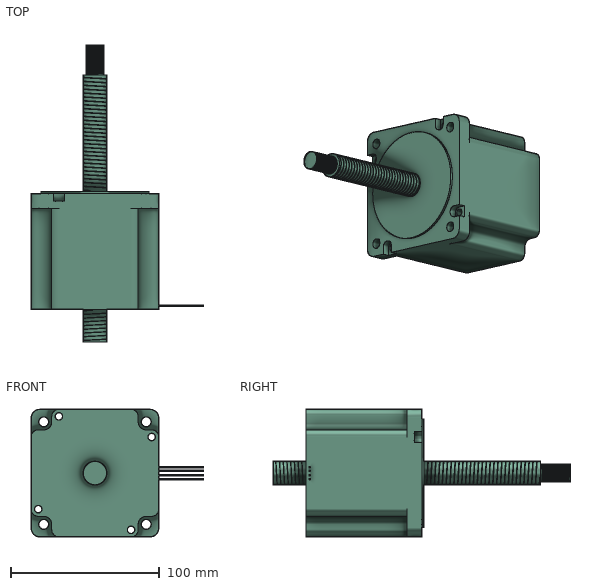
import cadquery as cq
import math


BODY_SIDE = 86.0
BODY_LENGTH = 78.0
FLANGE_THICKNESS = 10.0
FLANGE_CORNER_RADIUS = 6.0
PILOT_DIAMETER = 73.0
PILOT_HEIGHT = 1.5

MOUNT_HOLE_SPACING = 69.0
MOUNT_HOLE_DIAMETER = 6.5

BOLT_FAR_OFFSET = 38.2
BOLT_NEAR_OFFSET = 24.3
BOLT_HOLE_DIAMETER = 4.8
BOLT_SLOT_WIDTH = 7.5
BOLT_SLOT_DEPTH = 5.0

RECESS_WALL_OFFSET = 29.1
RECESS_INNER_RADIUS = 5.4
RECESS_LIP_RADIUS = BODY_SIDE / 2 - BOLT_FAR_OFFSET

SCREW_DIAMETER = 16.0
SCREW_REAR_LENGTH = 22.0
SCREW_FRONT_LENGTH = 78.5
FRONT_THREAD_PITCH = SCREW_FRONT_LENGTH / 30
FRONT_GROOVE_WIDTH = 0.4
FRONT_GROOVE_DEPTH = 0.2
REAR_THREAD_PITCH = 2.5
REAR_GROOVE_WIDTH = 0.25
REAR_GROOVE_DEPTH = 0.125
TIP_DIAMETER = 12.0
TIP_LENGTH = 20.0
TIP_THREAD_PITCH = 0.8
TIP_GROOVE_WIDTH = 0.4
TIP_GROOVE_DEPTH = 0.2
GROOVE_END_GAP = 0.5
GROOVE_START_ANGLE = 115.0

WIRE_DIAMETER = 1.0
WIRE_LENGTH = 30.0
WIRE_HEIGHTS = (-4.0, -1.5, 1.5, 4.0)
WIRE_REAR_INSET = 2.5

HALF_SIDE = BODY_SIDE / 2
REAR_Y = -BODY_LENGTH
SCREW_REAR_Y = REAR_Y - SCREW_REAR_LENGTH
SCREW_FRONT_Y = PILOT_HEIGHT + SCREW_FRONT_LENGTH
QUARTER_TURNS = (0, 90, 180, 270)


def section_at(y):
    """Workplane across the motor axis at y, drawing in X and Z, extruding toward -Y."""
    return cq.Workplane("XZ", origin=(0, y, 0))


def turned(shape, angle):
    """Shape rotated about the motor axis."""
    return shape.rotate((0, 0, 0), (0, 1, 0), angle)


def cylinder(diameter, y_start, y_end):
    return section_at(y_end).circle(diameter / 2).extrude(y_end - y_start)


def corner_recess():
    """Cutter for the -X, +Z corner: an S-curved pocket that leaves only the flange ear."""
    diagonal = math.sqrt(0.5)
    wall = RECESS_WALL_OFFSET
    inner = wall + RECESS_INNER_RADIUS
    lip_start = HALF_SIDE - RECESS_LIP_RADIUS
    lip_end = wall - RECESS_LIP_RADIUS
    lip_mid_far = lip_start + RECESS_LIP_RADIUS * diagonal
    lip_mid_near = lip_end + RECESS_LIP_RADIUS * diagonal
    inner_mid = inner - RECESS_INNER_RADIUS * diagonal
    return (
        section_at(-FLANGE_THICKNESS)
        .moveTo(-HALF_SIDE, HALF_SIDE)
        .lineTo(-lip_end, HALF_SIDE)
        .threePointArc((-lip_mid_near, lip_mid_far), (-wall, lip_start))
        .lineTo(-wall, inner)
        .threePointArc((-inner_mid, inner_mid), (-inner, wall))
        .lineTo(-lip_start, wall)
        .threePointArc((-lip_mid_far, lip_mid_near), (-HALF_SIDE, lip_end))
        .close()
        .extrude(BODY_LENGTH - FLANGE_THICKNESS)
    )


def tie_bolt_cut():
    """Through hole near the top edge, with a round-ended head slot open to the top face."""
    hole = (
        section_at(0)
        .center(-BOLT_NEAR_OFFSET, BOLT_FAR_OFFSET)
        .circle(BOLT_HOLE_DIAMETER / 2)
        .extrude(BODY_LENGTH)
    )
    slot_end = section_at(0).center(-BOLT_NEAR_OFFSET, BOLT_FAR_OFFSET)
    slot_round = slot_end.circle(BOLT_SLOT_WIDTH / 2).extrude(BOLT_SLOT_DEPTH)
    straight_length = HALF_SIDE - BOLT_FAR_OFFSET
    slot_straight = (
        section_at(0)
        .center(-BOLT_NEAR_OFFSET, BOLT_FAR_OFFSET + straight_length / 2)
        .rect(BOLT_SLOT_WIDTH, straight_length)
        .extrude(BOLT_SLOT_DEPTH)
    )
    return hole.union(slot_round).union(slot_straight)


def housing():
    body = (
        section_at(0)
        .rect(BODY_SIDE, BODY_SIDE)
        .extrude(BODY_LENGTH)
        .edges("|Y")
        .fillet(FLANGE_CORNER_RADIUS)
    )
    body = body.union(cylinder(PILOT_DIAMETER, 0, PILOT_HEIGHT))
    for angle in QUARTER_TURNS:
        body = body.cut(turned(corner_recess(), angle))
        body = body.cut(turned(tie_bolt_cut(), angle))
    mount_holes = (
        section_at(0)
        .rect(MOUNT_HOLE_SPACING, MOUNT_HOLE_SPACING, forConstruction=True)
        .vertices()
        .circle(MOUNT_HOLE_DIAMETER / 2)
        .extrude(FLANGE_THICKNESS)
    )
    return body.cut(mount_holes)


def thread_groove(diameter, y_start, y_end, pitch, width, depth, left_hand):
    """Helical V groove cutter around the motor axis from y_start to y_end.

    The V is carried on outside the rod by its own depth, doubling its width there.
    """
    radius = diameter / 2
    path = cq.Wire.makeHelix(pitch, y_end - y_start, radius, lefthand=left_hand)
    groove = (
        cq.Workplane("XZ")
        .moveTo(radius - depth, 0)
        .lineTo(radius + depth, width)
        .lineTo(radius + depth, -width)
        .close()
        .sweep(cq.Workplane(obj=path), isFrenet=True)
    )
    groove = groove.rotate((0, 0, 0), (1, 0, 0), -90).translate((0, y_start, 0))
    return turned(groove, -GROOVE_START_ANGLE if left_hand else GROOVE_START_ANGLE)


def threaded_rod(diameter, y_start, y_end, pitch, width, depth, left_hand=False):
    """Rod with a thread groove that stops just short of both end faces."""
    groove_start = y_start + GROOVE_END_GAP
    groove_end = y_end - GROOVE_END_GAP
    groove = thread_groove(diameter, groove_start, groove_end, pitch, width, depth, left_hand)
    return cylinder(diameter, y_start, y_end).cut(groove)


def lead_screw():
    """Plain core inside the housing, right-hand rear thread, left-hand front thread, fine tip thread."""
    core = cylinder(SCREW_DIAMETER, REAR_Y, PILOT_HEIGHT)
    rear = threaded_rod(
        SCREW_DIAMETER,
        SCREW_REAR_Y,
        REAR_Y,
        REAR_THREAD_PITCH,
        REAR_GROOVE_WIDTH,
        REAR_GROOVE_DEPTH,
    )
    front = threaded_rod(
        SCREW_DIAMETER,
        PILOT_HEIGHT,
        SCREW_FRONT_Y,
        FRONT_THREAD_PITCH,
        FRONT_GROOVE_WIDTH,
        FRONT_GROOVE_DEPTH,
        left_hand=True,
    )
    tip = threaded_rod(
        TIP_DIAMETER,
        SCREW_FRONT_Y,
        SCREW_FRONT_Y + TIP_LENGTH,
        TIP_THREAD_PITCH,
        TIP_GROOVE_WIDTH,
        TIP_GROOVE_DEPTH,
    )
    return core.union(rear).union(front).union(tip)


def lead_wires():
    wire_y = REAR_Y + WIRE_REAR_INSET
    return (
        cq.Workplane("YZ", origin=(HALF_SIDE, wire_y, 0))
        .pushPoints([(0, height) for height in WIRE_HEIGHTS])
        .circle(WIRE_DIAMETER / 2)
        .extrude(WIRE_LENGTH)
    )


result = housing().union(lead_wires()).union(lead_screw())